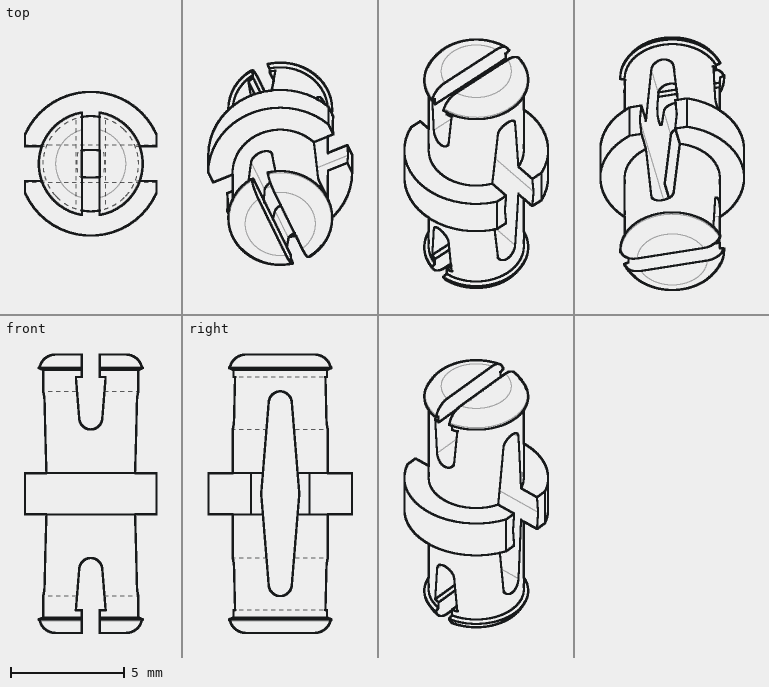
import cadquery as cq
import math

length = 12.28
half_length = length / 2
body_radius = 2.1

head_flat_radius = 1.55
head_round_radius = 2.25
head_round_depth = 0.53
lip_radius = 2.3
lip_depth = 0.6
head_depth = 0.69

collar_diameter = 6.35
collar_height = 1.82
collar_width = 5.8

slot_half_width = 0.84
slot_half_height = 4.51
slot_end_radius = 0.5

entry_width = 0.77
shoulder_depth = 1.01
shoulder_half_width = 0.65
pocket_depth = 3.3
pocket_end_radius = 0.5

cut_length = 2 * collar_diameter


def tapered_slot(plane, base_half_width, base_z, tip_z, end_radius):
    """Through cut with straight sides running tangent into a round tip above the base."""
    center_z = tip_z - end_radius
    rise = center_z - base_z
    angle = math.acos(end_radius / math.hypot(base_half_width, rise)) - math.atan2(rise, base_half_width)
    tangent_x = end_radius * math.cos(angle)
    tangent_z = center_z + end_radius * math.sin(angle)
    return (
        cq.Workplane(plane)
        .moveTo(-base_half_width, base_z)
        .lineTo(base_half_width, base_z)
        .lineTo(tangent_x, tangent_z)
        .threePointArc((0, tip_z), (-tangent_x, tangent_z))
        .close()
        .extrude(cut_length / 2, both=True)
    )


def mirrored_pair(upper):
    """The upper shape together with its mirror image below mid height."""
    return upper.union(upper.mirror("XY"))


def upper_pin():
    """Upper half of the body with its head, revolved about Z."""
    round_width = head_round_radius - head_flat_radius
    arc_radius = (round_width**2 + head_round_depth**2) / (2 * head_round_depth)
    half_angle = math.asin(round_width / arc_radius) / 2
    arc_middle = (
        head_flat_radius + arc_radius * math.sin(half_angle),
        half_length - arc_radius * (1 - math.cos(half_angle)),
    )
    return (
        cq.Workplane("XZ")
        .lineTo(body_radius, 0)
        .lineTo(body_radius, half_length - head_depth)
        .lineTo(lip_radius, half_length - lip_depth)
        .lineTo(head_round_radius, half_length - head_round_depth)
        .threePointArc(arc_middle, (head_flat_radius, half_length))
        .lineTo(0, half_length)
        .close()
        .revolve(360, (0, 0, 0), (0, 1, 0))
    )


def collar():
    disc = cq.Workplane("XY").circle(collar_diameter / 2).extrude(collar_height / 2, both=True)
    return disc.intersect(cq.Workplane("XY").box(collar_width, collar_diameter, collar_height))


def upper_end_slot():
    shoulder_z = half_length - shoulder_depth
    entry = (
        cq.Workplane("XY")
        .workplane(offset=shoulder_z)
        .rect(entry_width, cut_length)
        .extrude(shoulder_depth)
    )
    pocket = tapered_slot(
        "XZ", shoulder_half_width, -shoulder_z, pocket_depth - half_length, pocket_end_radius
    ).mirror("XY")
    return entry.union(pocket)


pin = mirrored_pair(upper_pin()).union(collar())
long_slot = mirrored_pair(tapered_slot("YZ", slot_half_width, 0, slot_half_height, slot_end_radius))
end_slots = mirrored_pair(upper_end_slot())

result = pin.cut(long_slot).cut(end_slots)